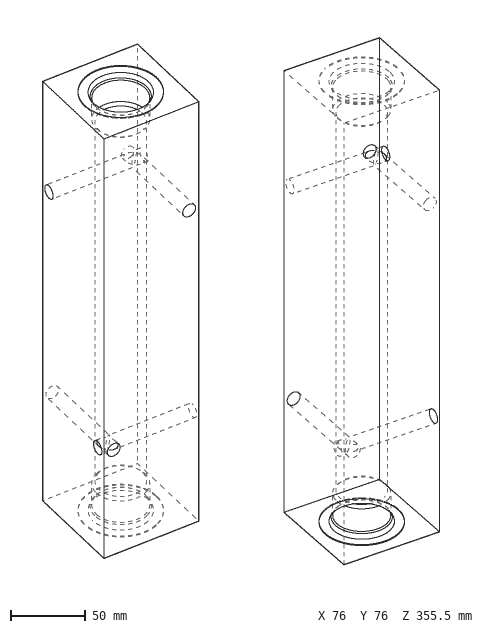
import cadquery as cq

length = 355.5
width = 76.0

bore_diameter = 35.0
spotface_diameter = 57.5
spotface_depth = 0.7
mouth_diameter = 44.0
seat_diameter = 41.2
seat_depth = 3.5
thread_diameter = 39.0
thread_depth = 22.8

mount_diameter = 10.3
mount_edge_distance = 8.0
mount_offset = width / 2 - mount_edge_distance
mount_end_distance = length / 4
mount_centres = (
    (-mount_offset, length - mount_end_distance),
    (mount_offset, mount_end_distance),
)


def port_cavity():
    """Full-length bore with the port's spotface, tapered seat and thread at the top."""
    floor = length - spotface_depth
    seat_bottom = floor - seat_depth
    thread_top = seat_bottom - (seat_diameter - thread_diameter) / 2
    thread_bottom = floor - thread_depth
    bore_top = thread_bottom - (thread_diameter - bore_diameter) / 2
    return (
        cq.Workplane("XZ")
        .moveTo(0, 0)
        .lineTo(bore_diameter / 2, 0)
        .lineTo(bore_diameter / 2, bore_top)
        .lineTo(thread_diameter / 2, thread_bottom)
        .lineTo(thread_diameter / 2, thread_top)
        .lineTo(seat_diameter / 2, seat_bottom)
        .lineTo(mouth_diameter / 2, floor)
        .lineTo(spotface_diameter / 2, floor)
        .lineTo(spotface_diameter / 2, length)
        .lineTo(0, length)
        .close()
        .revolve(360, (0, 0, 0), (0, 1, 0))
    )


def mounting_holes():
    """Two through holes along Y, and the same pair turned to run along X."""
    along_y = (
        cq.Workplane("XZ")
        .pushPoints(mount_centres)
        .circle(mount_diameter / 2)
        .extrude(width / 2, both=True)
    )
    along_x = along_y.rotate((0, 0, 0), (0, 0, 1), -90)
    return along_y.union(along_x)


bar = cq.Workplane("XY").box(width, width, length, centered=(True, True, False))
top_port = port_cavity()
bottom_port = top_port.mirror("XY", (0, 0, length / 2))
result = bar.cut(top_port).cut(bottom_port).cut(mounting_holes())